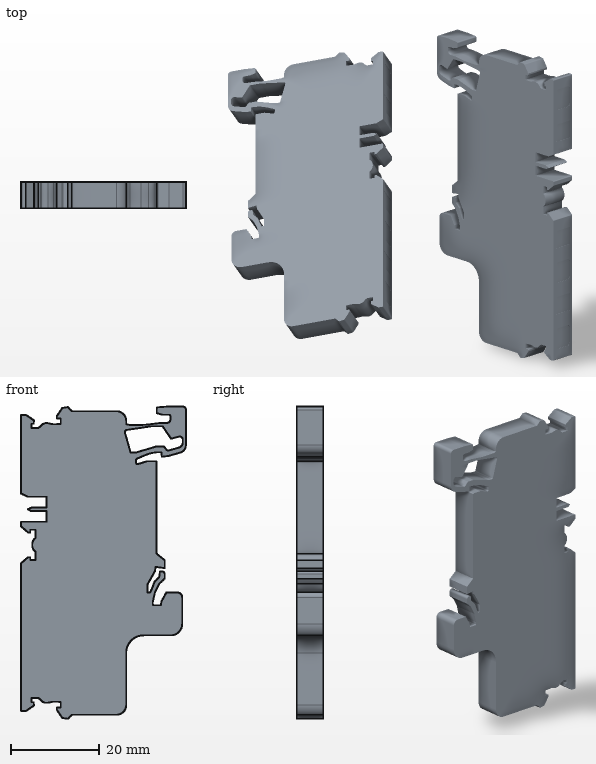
import cadquery as cq
import math


thickness = 6.0
height = 70.8

end_bump_rise = 0.9
hook_rise = 1.05
body_bottom = end_bump_rise
body_top = height - hook_rise
mid_z = (body_bottom + body_top) / 2
body_right = 23.85
body_corner_radius = 2.3

rail_face_x = 30.7
latch_right = 37.4
rail_seat_top = 58.4

foot_right = 36.5
foot_top = 28.7
foot_bottom = 18.9
outer_slot_floor = 25.8
foot_outer_radius = 2.6
foot_toe_radius = 1.1
foot_root_radius = 3.9

notch_depth = 5.7
notch_bottom = 44.7
notch_top = 50.3
tongue_bottom = 47.1
tongue_top = 47.9
tongue_tip_x = 1.5
tongue_bottom_shoulder_x = 2.3
tongue_top_shoulder_x = 2.5
notch_entry_x = 1.6
notch_entry_rise = 0.8

clip_z = 39.45
clip_depth = 3.25
clip_half_opening = 3.4
clip_lip_x = 2.1
clip_lip_drop = 0.65
clip_bulge_apex_x = 1.4
clip_bulge_half_height = 1.55
clip_bulge_radius = 2.0

panel_depth = 0.1
panel_width = 4.7
rect_panel_height = 4.1
round_panel_height = 4.9
round_panel_radius = 0.85
panel_pitch = 7.9
outer_panel_offset = 28.5
inner_panel_z = 22.6
notch_panel_inset = 0.4


def mirror_corners(corners, axis_z):
    """Reflect corners across z = axis_z and reverse them to keep the path direction."""
    return [(x, 2 * axis_z - z, *rounding) for x, z, *rounding in reversed(corners)]


def rounded_outline(corners):
    """Closed XZ wire through the corners, each one rounded by a tangent arc."""
    moves = []
    for i, (x, z, *rounding) in enumerate(corners):
        if not rounding:
            moves.append([(x, z)])
            continue
        radius = rounding[0]
        before = corners[i - 1]
        after = corners[(i + 1) % len(corners)]
        corner = cq.Vector(x, z)
        to_before = (cq.Vector(before[0], before[1]) - corner).normalized()
        to_after = (cq.Vector(after[0], after[1]) - corner).normalized()
        half_angle = to_before.getAngle(to_after) / 2
        tangent_length = radius / math.tan(half_angle)
        bisector = (to_before + to_after).normalized()
        arc_middle = corner + bisector * (radius / math.sin(half_angle) - radius)
        arc_points = (corner + to_before * tangent_length, arc_middle, corner + to_after * tangent_length)
        moves.append([(point.x, point.y) for point in arc_points])

    path = cq.Workplane("XZ").moveTo(*moves[0][-1])
    for start, *arc in moves[1:] + moves[:1]:
        path = path.lineTo(*start)
        if arc:
            path = path.threePointArc(*arc)
    return path.close()


def plate(corners):
    """Extrude an outline through the thickness, from y = 0 toward +Y."""
    return rounded_outline(corners).extrude(-thickness)


def end_groove():
    """Label groove in the upper end, from the wiring face to the flat body top."""
    lip_z = body_top - 0.85
    ledge_z = body_top - 2.9
    floor_z = body_top - 3.8
    ledge_right = 9.0
    undercut_left = 2.4
    bump_left = 8.1
    bump_undercut_z = ledge_z + 1.2
    lip = [
        (0, lip_z, 0.2), (1.1, lip_z), (3.0, lip_z - 1.3, 0.15), (2.9, ledge_z),
        (undercut_left, ledge_z), (undercut_left, floor_z),
    ]
    bulged_floor = [
        (3.9, floor_z), (4.3, floor_z + 0.3), (5.25, floor_z + 1.3, 1.55),
        (7.3, ledge_z - 0.1), (ledge_right, ledge_z),
    ]
    end_bump = [
        (ledge_right, bump_undercut_z), (bump_left, bump_undercut_z, 0.2), (bump_left, bump_undercut_z + 0.5),
        (9.35, body_top + 0.7, 0.35), (10.6, body_top + end_bump_rise), (11.55, body_top),
    ]
    return lip + bulged_floor + end_bump


def latch_arm():
    """Upper arm, release hook and outer skirt of the springy rail latch."""
    arm_z = 66.6
    hook_slot_bottom = 67.05
    hook_slot_top = 68.9
    hook_slot_end = 33.85
    hook_tip_x = 30.7
    hook_tip_radius = 0.3
    arm_top = [
        (body_right, body_top, body_corner_radius), (body_right, arm_z + 0.15), (24.65, arm_z),
        (28.0, arm_z, 14.15), (31.4, hook_slot_bottom),
    ]
    hook = [
        (hook_slot_end, hook_slot_bottom, 0.85), (hook_slot_end, hook_slot_top, 0.4), (31.9, hook_slot_top),
        (hook_tip_x, 69.25, hook_tip_radius), (hook_tip_x, height - 0.2, hook_tip_radius), (33.4, height),
    ]
    skirt = [(latch_right, height, 0.8), (latch_right, 60.7, 1.85), (33.4, 59.55), (31.85, 59.3)]
    return arm_top + hook + skirt


def latch_slot():
    """Curved slot that frees the latch from the rail wall."""
    roof_z = 60.4
    return [
        (31.8, roof_z), (29.75, roof_z, 8.5), (26.05, 58.8, 0.35), (26.1, 57.6, 0.3),
        (28.6, rail_seat_top), (rail_face_x, rail_seat_top, 0.2),
    ]


def rail_spring():
    """Rail nose, and the bent spring finger between two slots below it."""
    nose_x = 32.6
    finger_top = 33.4
    inner_slot_x = 28.7
    nose = [(rail_face_x, 37.45), (nose_x, 36.0), (nose_x, 34.1), (30.5, 34.4)]
    inner_slot = [(30.4, 33.5), (inner_slot_x, 30.45), (inner_slot_x, foot_top), (29.25, foot_top)]
    finger_inner_side = [(29.75, 29.75), (30.2, 31.1), (31.3, 32.15), (31.4, finger_top, 0.3)]
    finger_outer_side = [
        (nose_x, finger_top, 0.6), (nose_x, 31.8), (31.35, 30.65), (30.4, 28.7), (29.9, 26.5),
        (29.9, outer_slot_floor, 0.2),
    ]
    return nose + inner_slot + finger_inner_side + finger_outer_side


def rail_foot():
    """Fixed foot that hooks the rail, then the lower corner of the body."""
    return [
        (31.65, outer_slot_floor), (31.8, 26.6), (32.9, foot_top), (foot_right, foot_top, foot_toe_radius),
        (foot_right, foot_bottom, foot_outer_radius), (body_right, foot_bottom, foot_root_radius),
        (body_right, body_bottom, body_corner_radius),
    ]


def marker_clip():
    """Clip recess with two hooked lips and a bulged floor, from its lower to its upper lip."""
    opening_z = clip_z + clip_half_opening
    lip_z = opening_z - clip_lip_drop
    upper_half = [
        (clip_depth, clip_z + clip_bulge_half_height),
        (clip_depth, opening_z), (clip_lip_x, opening_z), (clip_lip_x, lip_z), (1.6, lip_z, 0.15),
        (0, opening_z + 0.8, 0.15),
    ]
    bulge = [(clip_bulge_apex_x, clip_z, clip_bulge_radius)]
    return mirror_corners(upper_half, clip_z) + bulge + upper_half


def central_notch():
    """Deep notch split by a pointed tongue."""
    tongue_mid = (tongue_bottom + tongue_top) / 2
    return [
        (0, notch_bottom, 0.2), (notch_depth, notch_bottom),
        (notch_depth, tongue_bottom), (tongue_bottom_shoulder_x, tongue_bottom), (tongue_tip_x, tongue_mid),
        (tongue_top_shoulder_x, tongue_top), (notch_depth, tongue_top),
        (notch_depth, notch_top), (notch_entry_x, notch_top), (0, notch_top + notch_entry_rise),
    ]


def latch_window():
    """Opening between the two arms of the latch."""
    right_x = 36.6
    upper_z = 66.3
    lower_z = 61.75
    top_side = [(23.4, 65.35, 0.4), (29.6, upper_z), (32.1, upper_z, 0.2)]
    right_pocket = [(34.0, 63.45, 0.3), (right_x, 64.15, 0.65), (right_x, lower_z, 1.05), (33.2, 60.75, 0.4)]
    bottom_side = [(32.35, lower_z, 0.15), (30.65, lower_z), (26.1, 60.4), (24.85, 60.3, 0.2)]
    return top_side + right_pocket + bottom_side


def panel(floor_x, center_z, width, panel_height):
    """Block that sinks a panel into a face at x = floor_x, centred in the thickness."""
    block = cq.Workplane("XY").box(panel_depth, width, panel_height, centered=(False, True, True))
    return block.translate((floor_x, thickness / 2, center_z))


def cut_wire_panels(part):
    """Pairs of a rounded wire entry and a rectangular screwdriver slot."""
    pairs = [
        (mid_z + outer_panel_offset, -panel_pitch),
        (inner_panel_z, panel_pitch),
        (mid_z - outer_panel_offset, panel_pitch),
    ]
    for entry_z, slot_offset in pairs:
        entry = panel(0, entry_z, panel_width, round_panel_height).edges("|X").fillet(round_panel_radius)
        slot = panel(0, entry_z + slot_offset, panel_width, rect_panel_height)
        part = part.cut(entry).cut(slot)
    return part


def cut_notch_panels(part):
    """One panel in the notch floor on each side of the tongue."""
    for low_z, high_z in [(notch_bottom, tongue_bottom), (tongue_top, notch_top)]:
        width = thickness - 2 * notch_panel_inset
        part = part.cut(panel(notch_depth, (low_z + high_z) / 2, width, high_z - low_z))
    return part


outline = (
    end_groove() + latch_arm() + latch_slot() + rail_spring() + rail_foot()
    + mirror_corners(end_groove(), mid_z) + marker_clip() + central_notch()
)
housing = plate(outline).cut(plate(latch_window()))
result = cut_notch_panels(cut_wire_panels(housing))